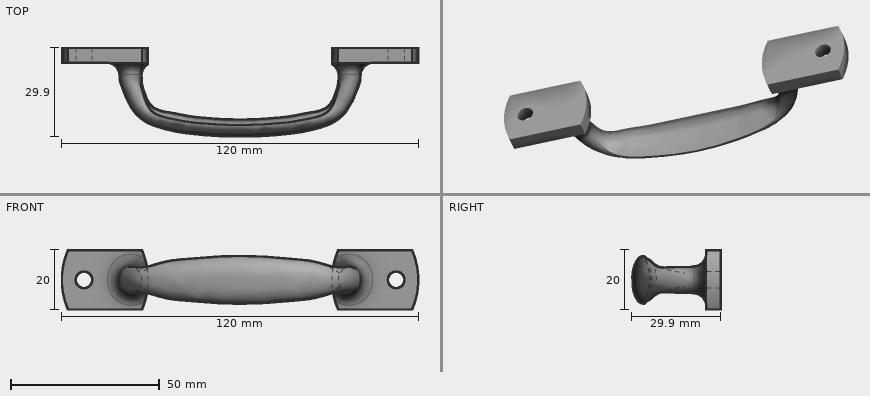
import cadquery as cq
import math

overall_length = 120.0
plate_length = 29.1
plate_height = 20.0
plate_thickness = 5.0
plate_end_radius = 25.0
hole_diameter = 5.5
hole_spacing = 105.0

flare_radius = 4.0
neck_end_y = -plate_thickness - flare_radius

neck_section = ((-40.6, neck_end_y), (-33.1, neck_end_y), 4.6, 0.03, 65.0)
bend_sections = [
    ((-39.6, -13.6), (-32.8, -12.8), 4.4, 0.07, 57.0),
    ((-35.9, -21.1), (-31.2, -17.5), 4.2, 0.12, 37.0),
    ((-32.3, -24.5), (-28.9, -20.2), 4.7, 0.24, 15.0),
    ((-25.0, -27.4), (-23.4, -21.7), 6.4, 0.34, 2.0),
    ((-18.0, -28.75), (-17.0, -22.9), 7.1, 0.34, 0.0),
    ((-12.0, -29.4), (-11.4, -23.5), 7.6, 0.33, 0.0),
    ((-6.0, -29.78), (-5.7, -23.88), 7.97, 0.33, 0.0),
]
middle_section = ((0.0, -29.89), (0.0, -24.0), 8.1, 0.33, 0.0)


def mirrored(section):
    """The same grip section on the +X half."""
    (outer_x, outer_y), (inner_x, inner_y), half_height, corner_fraction, wrap = section
    return (-outer_x, outer_y), (-inner_x, inner_y), half_height, corner_fraction, wrap


def section_outline(section):
    """Closed grip section, in the plane through its outer and inner points and the Z direction."""
    outer_point, inner_point, half_height, corner_fraction, wrap = section
    up = cq.Vector(0, 0, 1)
    outer = cq.Vector(*outer_point, 0)
    inner = cq.Vector(*inner_point, 0)
    thickness = (outer - inner).Length
    outward = (outer - inner).normalized()

    corner_rise = thickness * corner_fraction
    ellipse_depth = (thickness - corner_rise) / (1 + math.sin(math.radians(wrap)))
    center = outer - outward * ellipse_depth
    corner_z = half_height * math.cos(math.radians(wrap))
    corner_depth = -ellipse_depth * math.sin(math.radians(wrap))
    plane = cq.Plane(origin=center, xDir=up, normal=up.cross(outward))
    return (
        cq.Workplane(plane)
        .moveTo(corner_z, corner_depth)
        .ellipseArc(half_height, ellipse_depth, -wrap, 180 + wrap, startAtCurrent=True)
        .threePointArc((0, corner_depth - corner_rise), (corner_z, corner_depth))
        .close()
    )


def plate_outline():
    """Outline of the -X plate: flat long sides, bowed ends."""
    half_height = plate_height / 2
    bow = plate_end_radius - math.sqrt(plate_end_radius**2 - half_height**2)
    outer_x = -overall_length / 2
    inner_x = outer_x + plate_length
    return (
        cq.Workplane("XZ")
        .moveTo(outer_x + bow, half_height)
        .lineTo(inner_x - bow, half_height)
        .threePointArc((inner_x, 0), (inner_x - bow, -half_height))
        .lineTo(outer_x + bow, -half_height)
        .threePointArc((outer_x, 0), (outer_x + bow, half_height))
        .close()
    )


def flared_neck():
    """Neck on an oversized plate blank, with the flare where they meet."""
    overrun = 1.0
    outer_point, inner_point = neck_section[:2]
    neck_center_x = (outer_point[0] + inner_point[0]) / 2
    blank_size = 2 * plate_length
    blank = cq.Workplane("XZ").center(neck_center_x, 0).rect(blank_size, blank_size).extrude(plate_thickness)

    neck_wire = section_outline(neck_section).wires().val().translate(cq.Vector(0, -overrun, 0))
    neck_travel = cq.Vector(0, -neck_end_y + overrun, 0)
    neck = cq.Workplane(cq.Solid.extrudeLinear(neck_wire, [], neck_travel))

    root_reach = plate_height / 2
    root_margin = overrun / 2
    neck_root = cq.selectors.BoxSelector(
        (neck_center_x - root_reach, -plate_thickness - root_margin, -root_reach),
        (neck_center_x + root_reach, -plate_thickness + root_margin, root_reach),
        boundingbox=True,
    )
    return blank.union(neck).edges(neck_root).fillet(flare_radius)


def foot():
    """The -X plate with its through screw hole and flared neck, trimmed to the plate outline."""
    envelope = plate_outline().extrude(-neck_end_y)
    hole = (
        cq.Workplane("XZ")
        .center(-hole_spacing / 2, 0)
        .circle(hole_diameter / 2)
        .extrude(plate_thickness)
    )
    return flared_neck().intersect(envelope).cut(hole)


def grip():
    """Smooth bowed grip lofted from one neck to the other."""
    left_sections = [neck_section] + bend_sections
    right_sections = [mirrored(section) for section in reversed(left_sections)]
    sections = left_sections + [middle_section] + right_sections
    wires = [section_outline(section).wires().val() for section in sections]
    return cq.Workplane(cq.Solid.makeLoft(wires))


left_foot = foot()
result = left_foot.union(left_foot.mirror("YZ")).union(grip())